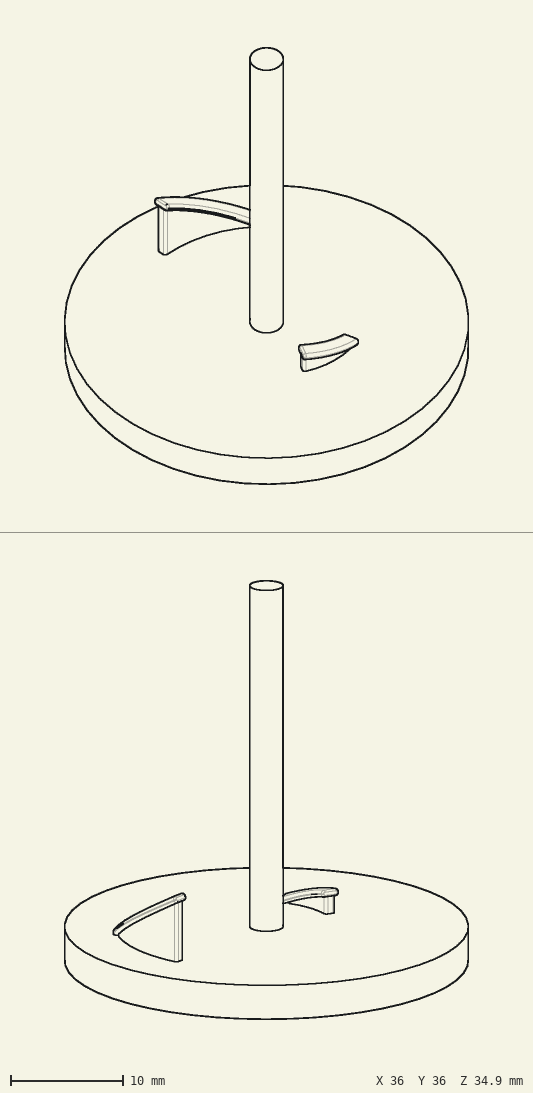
import cadquery as cq
import math

plate_diameter = 36.0
plate_thickness = 3.15
post_diameter = 3.0
total_height = 34.92

rail_width = 1.65
rail_thickness = 0.65
rail_fillet = 0.3
rail_end_fillet = 0.18
wall_thickness = 1.0
wall_fillet = 0.25
wall_setback = 0.05
wall_run_out = 0.72
wall_root = 0.35
station_count = 7


def arc_point(center, radius, angle):
    """Plan position at an angle in degrees on a ramp's arc."""
    turn = math.radians(angle)
    return (center[0] + radius * math.cos(turn), center[1] + radius * math.sin(turn))


def wall_outline(center, radius, start, end):
    """Curved wall, from the plate to full height, with rounded vertical end corners."""
    inner = radius - wall_thickness / 2
    outer = radius + wall_thickness / 2
    middle = (start + end) / 2
    return (
        cq.Workplane("XY", origin=(0, 0, plate_thickness - wall_root))
        .moveTo(*arc_point(center, inner, start))
        .threePointArc(arc_point(center, inner, middle), arc_point(center, inner, end))
        .lineTo(*arc_point(center, outer, end))
        .threePointArc(arc_point(center, outer, middle), arc_point(center, outer, start))
        .close()
        .extrude(total_height - plate_thickness)
        .edges("|Z")
        .fillet(wall_fillet)
    )


def make_ramp(center, radius, start, end, high, low, bow):
    """Rail that descends along a plan arc, standing on a wall that ends under it.

    The heights are those of the rail's centreline above the plate;
    bow is its rise above a straight descent at half length.
    """
    sweep = math.radians(end - start)
    direction = math.copysign(1, sweep)
    run = radius * abs(sweep)
    rail_section = (
        cq.Sketch().rect(rail_width, rail_thickness).vertices().fillet(rail_fillet)
    )
    rail_sections = []
    trim_sections = []
    for station in range(station_count):
        fraction = station / (station_count - 1)
        turn = math.radians(start) + sweep * fraction
        x, y = arc_point(center, radius, math.degrees(turn))
        rise = high + (low - high) * fraction + 4 * bow * fraction * (1 - fraction)
        slope = (low - high + 4 * bow * (1 - 2 * fraction)) / run
        outward = (math.cos(turn), math.sin(turn), 0)
        forward = (-direction * math.sin(turn), direction * math.cos(turn))
        z = plate_thickness + rise

        rail_plane = cq.Plane((x, y, z), outward, (*forward, slope))
        rail_sections.append(rail_section.moved(cq.Location(rail_plane)))

        depth = total_height
        trim_plane = cq.Plane((x, y, z - depth / 2), outward, (*forward, 0))
        trim_section = cq.Sketch().rect(rail_width, depth)
        trim_sections.append(trim_section.moved(cq.Location(trim_plane)))

    rail = cq.Workplane().placeSketch(*rail_sections).loft()
    rail = rail.faces("%PLANE").edges().fillet(rail_end_fillet)
    below_rail = cq.Workplane().placeSketch(*trim_sections).loft()
    setback_angle = direction * math.degrees(wall_setback / radius)
    run_out_angle = direction * math.degrees(wall_run_out / radius)
    wall = wall_outline(center, radius, start + setback_angle, end - run_out_angle)
    return rail.union(wall.intersect(below_rail))


plate = cq.Workplane("XY").circle(plate_diameter / 2).extrude(plate_thickness)
post = cq.Workplane("XY").circle(post_diameter / 2).extrude(total_height)

tall_ramp = make_ramp(
    center=(0, 0), radius=13.05, start=154.9, end=109.9, high=5.9, low=0.05, bow=0.0
)
short_ramp = make_ramp(
    center=(0.5, 1.25), radius=7.52, start=-54.4, end=-9.7, high=1.95, low=0.18, bow=0.15
)

result = plate.union(post).union(tall_ramp).union(short_ramp)